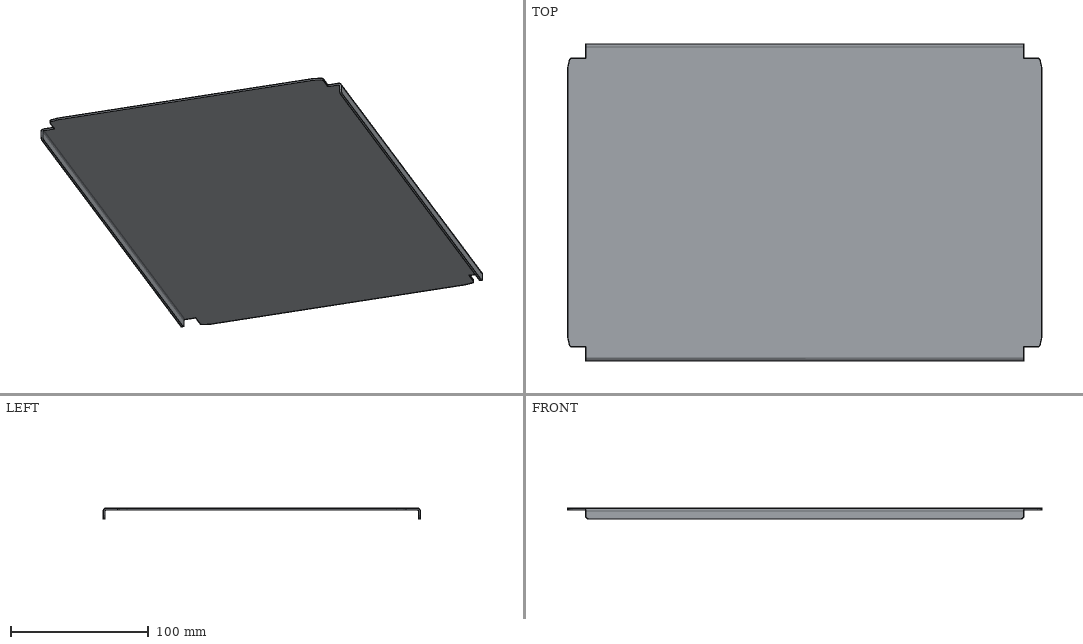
import cadquery as cq

length = 344.3
width = 230.4
height = 8.0

thickness = 1.5
bend_inner_radius = 0.8
bend_outer_radius = bend_inner_radius + thickness

tab_reach = 13.0
tab_width = 209.6
tab_corner_radius = 2.0
tab_taper_length = 7.0
tab_taper_depth = 1.5

flange_length = length - 2 * tab_reach
flange_corner_radius = 2.5


def folded_panel():
    """Panel with a flange bent down along each long edge, top face at Z = 0."""
    block = cq.Workplane("XY").box(flange_length, width, height, centered=(True, True, False))
    block = block.translate((0, 0, -height))
    block = block.edges("|X and >Z").fillet(bend_outer_radius)

    cavity_height = height - thickness
    cavity = cq.Workplane("XY").box(
        flange_length, width - 2 * thickness, cavity_height, centered=(True, True, False)
    )
    cavity = cavity.translate((0, 0, -height))
    cavity = cavity.edges("|X and >Z").fillet(bend_inner_radius)

    panel = block.cut(cavity)
    return panel.edges("|Y and <Z").edges("<X or >X").fillet(flange_corner_radius)


def tab_plate():
    """Flat plate whose ends form the tabs, with tapered and rounded corners."""
    half_length = length / 2
    half_width = tab_width / 2
    corner_x = half_length - tab_taper_depth
    taper_y = half_width - tab_taper_length
    outline = [
        (-corner_x, -half_width),
        (corner_x, -half_width),
        (half_length, -taper_y),
        (half_length, taper_y),
        (corner_x, half_width),
        (-corner_x, half_width),
        (-half_length, taper_y),
        (-half_length, -taper_y),
    ]
    plate = cq.Workplane("XY").polyline(outline).close().extrude(-thickness)
    return plate.edges("|Z").edges(">Y or <Y").fillet(tab_corner_radius)


result = folded_panel().union(tab_plate())